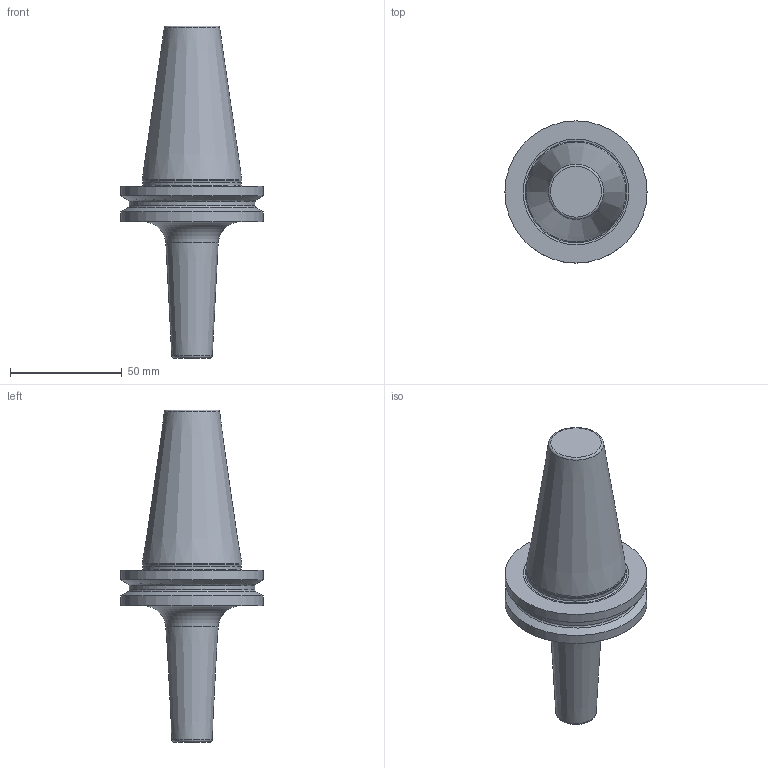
import cadquery as cq
import math

gauge_diameter = 44.45
taper_ratio = 7 / 24
shank_length = 68.4
shank_end_fillet = 1.0

undercut_length = 2.5
undercut_depth = 0.2
undercut_run_out_angle = 15.0
undercut_fillet = 0.6
face_relief_diameter = 47.2
face_relief_angle = 10.0

flange_diameter = 63.55
flange_top_gap = 3.2
flange_bottom_gap = 19.1
groove_centre_gap = 11.1
groove_floor_diameter = 56.25
groove_mouth_width = 7.2
groove_wall_angle = 30.0
groove_fillet = 1.0

projection = 80.0
nose_tip_diameter = 18.0
nose_half_angle = 3.0
nose_tip_fillet = 1.0
nose_root_fillet = 10.0

gauge_radius = gauge_diameter / 2
flange_radius = flange_diameter / 2
flange_top_z = -flange_top_gap
flange_bottom_z = -flange_bottom_gap

neck_radius = gauge_radius - undercut_depth
undercut_top_z = flange_top_z + undercut_length
neck_top_z = undercut_top_z - undercut_depth / math.tan(math.radians(undercut_run_out_angle))
face_relief_radius = face_relief_diameter / 2
face_relief_depth = (face_relief_radius - neck_radius) * math.tan(math.radians(face_relief_angle))
neck_bottom_z = flange_top_z - face_relief_depth

groove_z = -groove_centre_gap
groove_floor_radius = groove_floor_diameter / 2
groove_half_mouth = groove_mouth_width / 2
groove_wall_rise = (flange_radius - groove_floor_radius) * math.tan(math.radians(groove_wall_angle))
groove_half_floor = groove_half_mouth - groove_wall_rise

shank_end_radius = gauge_radius - shank_length * taper_ratio / 2
nose_tip_radius = nose_tip_diameter / 2
nose_tip_z = -projection
nose_length = projection - flange_bottom_gap
nose_root_radius = nose_tip_radius + nose_length * math.tan(math.radians(nose_half_angle))


def make_sharp_body():
    """Revolve the half outline of the whole holder, with every corner still sharp."""
    outline = [
        (0, shank_length),
        (shank_end_radius, shank_length),
        (gauge_radius, 0),
        (gauge_radius, undercut_top_z),
        (neck_radius, neck_top_z),
        (neck_radius, neck_bottom_z),
        (face_relief_radius, flange_top_z),
        (flange_radius, flange_top_z),
        (flange_radius, groove_z + groove_half_mouth),
        (groove_floor_radius, groove_z + groove_half_floor),
        (groove_floor_radius, groove_z - groove_half_floor),
        (flange_radius, groove_z - groove_half_mouth),
        (flange_radius, flange_bottom_z),
        (nose_root_radius, flange_bottom_z),
        (nose_tip_radius, nose_tip_z),
        (0, nose_tip_z),
    ]
    return cq.Workplane("XZ").polyline(outline).close().revolve(360, (0, 0, 0), (0, 1, 0))


def round_corner(body, radius, z, fillet):
    """Fillet the circular edge of the given radius at height z."""
    margin = 0.01
    nearby = cq.selectors.BoxSelector((-margin, -margin, z - margin), (margin, margin, z + margin))
    rings = body.edges("%CIRCLE").edges(nearby)
    ring = rings.filter(lambda edge: abs(edge.radius() - radius) < margin)
    return ring.fillet(fillet)


corner_rounds = [
    (shank_end_radius, shank_length, shank_end_fillet),
    (neck_radius, neck_bottom_z, undercut_fillet),
    (groove_floor_radius, groove_z + groove_half_floor, groove_fillet),
    (groove_floor_radius, groove_z - groove_half_floor, groove_fillet),
    (nose_root_radius, flange_bottom_z, nose_root_fillet),
    (nose_tip_radius, nose_tip_z, nose_tip_fillet),
]

result = make_sharp_body()
for corner_radius, corner_z, fillet_radius in corner_rounds:
    result = round_corner(result, corner_radius, corner_z, fillet_radius)